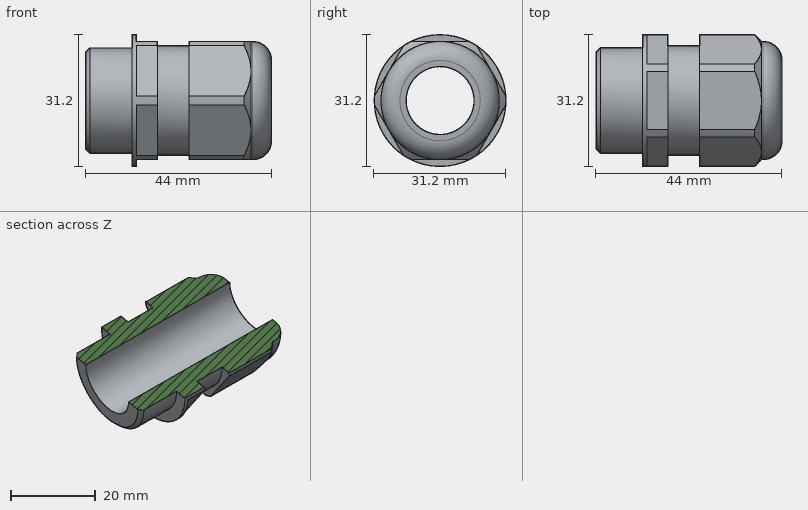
import cadquery as cq
import math

TOTAL_LENGTH = 44.0
BORE_DIAMETER = 16.0

THREAD_DIAMETER = 25.0
THREAD_LENGTH = 11.0
THREAD_CHAMFER = 1.0

FLANGE_DIAMETER = 31.2
FLANGE_THICKNESS = 1.0
BODY_HEX_LENGTH = 4.95
NECK_DIAMETER = 26.0
NECK_LENGTH = 7.52

ACROSS_FLATS = 28.0

DOME_RADIUS = 4.5
CAP_RIM_LENGTH = 0.4

body_hex_start = THREAD_LENGTH + FLANGE_THICKNESS
neck_start = body_hex_start + BODY_HEX_LENGTH
nut_start = neck_start + NECK_LENGTH
dome_start = TOTAL_LENGTH - DOME_RADIUS
rim_start = dome_start - CAP_RIM_LENGTH

corner_radius = FLANGE_DIAMETER / 2
flat_radius = ACROSS_FLATS / 2
cone_start = rim_start - (corner_radius - flat_radius)


def cylinder(start, length, diameter):
    """Cylinder along X beginning at the given station."""
    return cq.Workplane("YZ").workplane(offset=start).circle(diameter / 2).extrude(length)


def hexagon(start, length):
    """Hexagonal prism along X with two flats facing +Z and -Z."""
    across_corners = ACROSS_FLATS / math.cos(math.radians(30))
    return cq.Workplane("YZ").workplane(offset=start).polygon(6, across_corners).extrude(length)


def make_body():
    """Chamfered thread, flange, rounded-corner hexagon and neck."""
    thread = cylinder(0, THREAD_LENGTH, THREAD_DIAMETER).faces("<X").chamfer(THREAD_CHAMFER)
    flange = cylinder(THREAD_LENGTH, FLANGE_THICKNESS, FLANGE_DIAMETER)
    corner_limit = cylinder(body_hex_start, BODY_HEX_LENGTH, FLANGE_DIAMETER)
    body_hex = hexagon(body_hex_start, BODY_HEX_LENGTH).intersect(corner_limit)
    neck = cylinder(neck_start, NECK_LENGTH, NECK_DIAMETER)
    return thread.union(flange).union(body_hex).union(neck)


def make_cap_nut():
    """Hexagonal nut with turned-down corners, a short round rim and a domed end."""
    arc_offset = DOME_RADIUS * math.sin(math.radians(45))
    arc_center_radius = flat_radius - DOME_RADIUS
    turned_blank = (
        cq.Workplane("XY")
        .moveTo(nut_start, 0)
        .lineTo(nut_start, corner_radius)
        .lineTo(cone_start, corner_radius)
        .lineTo(rim_start, flat_radius)
        .lineTo(dome_start, flat_radius)
        .threePointArc(
            (dome_start + arc_offset, arc_center_radius + arc_offset),
            (TOTAL_LENGTH, arc_center_radius),
        )
        .lineTo(TOTAL_LENGTH, 0)
        .close()
        .revolve(360, (0, 0, 0), (1, 0, 0))
    )
    return hexagon(nut_start, TOTAL_LENGTH - nut_start).intersect(turned_blank)


bore = cylinder(0, TOTAL_LENGTH, BORE_DIAMETER)
result = make_body().union(make_cap_nut()).cut(bore)